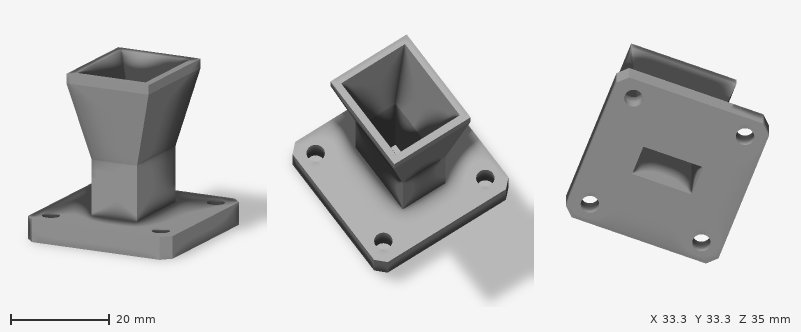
import cadquery as cq

flange_side = 33.27
flange_thickness = 4.8
corner_chamfer = 2.0
hole_diameter = 3.75
hole_spacing_x = 25.25
hole_spacing_y = 24.3

bore_x = 6.48
bore_y = 12.95
tube_wall = 2.0
tube_x = bore_x + 2 * tube_wall
tube_y = bore_y + 2 * tube_wall

total_height = 35.0
rim_height = 2.0
rim_x = 18.9
rim_y = 22.95
throat_height = 16.7
rim_base_height = total_height - rim_height

bore_height = throat_height + rim_height
aperture_x = 15.8
aperture_y = 19.7


def block(size_x, size_y, bottom, top):
    """Upright rectangular prism centred on the Z axis."""
    return cq.Workplane("XY").workplane(offset=bottom).rect(size_x, size_y).extrude(top - bottom)


def flare(lower_x, lower_y, bottom, upper_x, upper_y, top):
    """Straight-sided loft between two centred rectangles."""
    return (
        cq.Workplane("XY")
        .workplane(offset=bottom)
        .rect(lower_x, lower_y)
        .workplane(offset=top - bottom)
        .rect(upper_x, upper_y)
        .loft(ruled=True)
    )


def make_flange():
    """Square plate with chamfered corners and four through holes."""
    return (
        block(flange_side, flange_side, 0, flange_thickness)
        .edges("|Z")
        .chamfer(corner_chamfer)
        .faces(">Z")
        .workplane()
        .rect(hole_spacing_x, hole_spacing_y, forConstruction=True)
        .vertices()
        .hole(hole_diameter)
    )


def make_horn_body():
    """Solid outer form: tube, flare and rim."""
    tube = block(tube_x, tube_y, 0, throat_height)
    horn = flare(tube_x, tube_y, throat_height, rim_x, rim_y, rim_base_height)
    rim = block(rim_x, rim_y, rim_base_height, total_height)
    return tube.union(horn).union(rim)


def make_passage():
    """Inner form: straight bore widening in a flare up to the aperture."""
    bore = block(bore_x, bore_y, 0, bore_height)
    funnel = flare(bore_x, bore_y, bore_height, aperture_x, aperture_y, total_height)
    return bore.union(funnel)


result = make_flange().union(make_horn_body()).cut(make_passage())